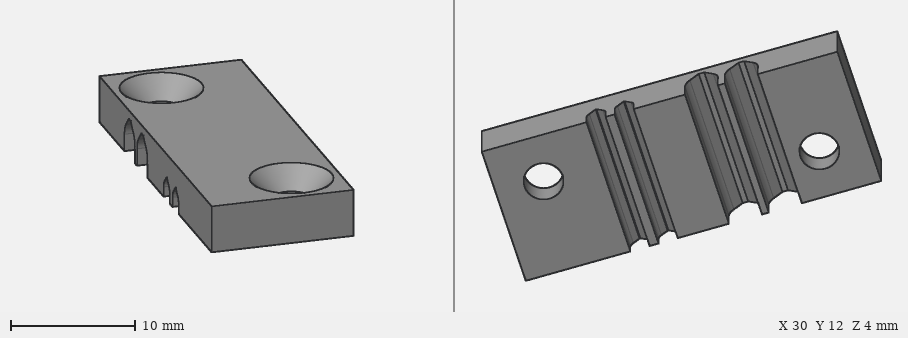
import cadquery as cq
import math

LENGTH = 30.0
WIDTH = 12.0
HEIGHT = 4.0

HOLE_DIAMETER = 3.2
SINK_DIAMETER = 6.78
SINK_ANGLE = 90.0
HOLE_INSET = 4.0

LARGE_WIDTH = 2.8
LARGE_SPRING = 1.5
LARGE_TOP = 3.25
LARGE_CENTER = 9.78
LARGE_PITCH = 3.35

SMALL_WIDTH = 1.62
SMALL_SPRING = 0.87
SMALL_TOP = 1.98
SMALL_CENTER = 19.17
SMALL_PITCH = 2.37


def channel(center_x, width, spring, top):
    """Teardrop channel: round shoulders, 45 degree roof and a narrow flat top."""
    radius = width / 2
    tangent = radius * math.sin(math.radians(45))
    arc_mid_x = radius * math.cos(math.radians(22.5))
    arc_mid_z = spring + radius * math.sin(math.radians(22.5))
    roof_start = spring + tangent
    sharp_apex = spring + 2 * tangent
    half_flat = sharp_apex - top
    return (
        cq.Workplane("XZ", origin=(center_x, 0, 0))
        .moveTo(-radius, 0)
        .lineTo(-radius, spring)
        .threePointArc((-arc_mid_x, arc_mid_z), (-tangent, roof_start))
        .lineTo(-half_flat, top)
        .lineTo(half_flat, top)
        .lineTo(tangent, roof_start)
        .threePointArc((arc_mid_x, arc_mid_z), (radius, spring))
        .lineTo(radius, 0)
        .close()
        .extrude(-WIDTH)
    )


def channel_pair(center_x, pitch, width, spring, top):
    left = channel(center_x - pitch / 2, width, spring, top)
    right = channel(center_x + pitch / 2, width, spring, top)
    return left.union(right)


plate = cq.Workplane("XY").box(LENGTH, WIDTH, HEIGHT, centered=False)

hole_points = [
    (HOLE_INSET, HOLE_INSET),
    (LENGTH - HOLE_INSET, WIDTH - HOLE_INSET),
]
plate = (
    plate.faces(">Z")
    .workplane(origin=(0, 0, HEIGHT))
    .pushPoints(hole_points)
    .cskHole(HOLE_DIAMETER, SINK_DIAMETER, SINK_ANGLE)
)

large_channels = channel_pair(LARGE_CENTER, LARGE_PITCH, LARGE_WIDTH, LARGE_SPRING, LARGE_TOP)
small_channels = channel_pair(SMALL_CENTER, SMALL_PITCH, SMALL_WIDTH, SMALL_SPRING, SMALL_TOP)

result = plate.cut(large_channels).cut(small_channels)